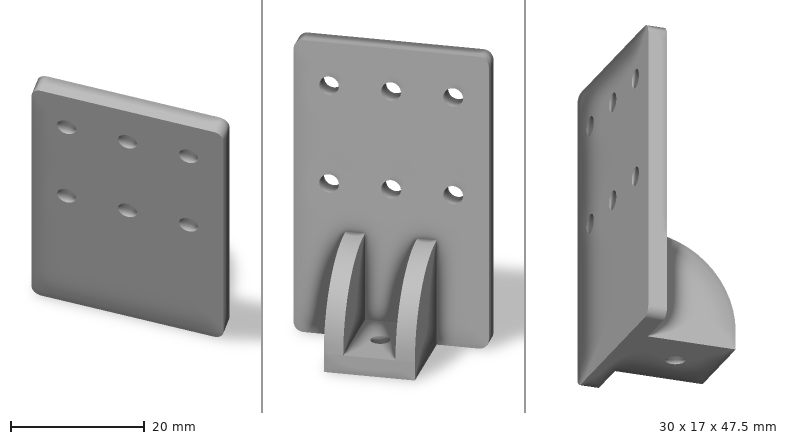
import cadquery as cq

plate_width = 30.0
plate_height = 47.5
thickness = 3.0
corner_radius = 1.5

hole_diameter = 3.0
hole_columns = 3
hole_rows = 2
column_pitch = 9.55
row_pitch = 15.9
top_row_inset = 7.05
hole_grid_z = plate_height - top_row_inset - row_pitch / 2

bracket_depth = 14.0
bracket_width = 14.0
bracket_height = thickness + bracket_depth
channel_width = bracket_width - 2 * thickness
bracket_back = thickness + bracket_depth


def make_plate():
    plate = (
        cq.Workplane("XY")
        .box(plate_width, thickness, plate_height, centered=(True, False, False))
        .edges("|Y")
        .fillet(corner_radius)
    )
    holes = (
        cq.Workplane("XZ", origin=(0, 0, hole_grid_z))
        .rarray(column_pitch, row_pitch, hole_columns, hole_rows)
        .circle(hole_diameter / 2)
        .extrude(-thickness)
    )
    return plate.cut(holes)


def make_bracket():
    arc_offset = bracket_depth * 0.5 ** 0.5
    bracket = (
        cq.Workplane("YZ")
        .moveTo(thickness, 0)
        .lineTo(bracket_back, 0)
        .lineTo(bracket_back, thickness)
        .threePointArc(
            (thickness + arc_offset, thickness + arc_offset),
            (thickness, bracket_height),
        )
        .close()
        .extrude(bracket_width / 2, both=True)
    )
    channel = (
        cq.Workplane("XY")
        .box(channel_width, bracket_depth, bracket_depth, centered=(True, False, False))
        .translate((0, thickness, thickness))
    )
    floor_hole = (
        cq.Workplane("XY")
        .center(0, thickness + bracket_depth / 2)
        .circle(hole_diameter / 2)
        .extrude(thickness)
    )
    return bracket.cut(channel).cut(floor_hole)


result = make_plate().union(make_bracket())